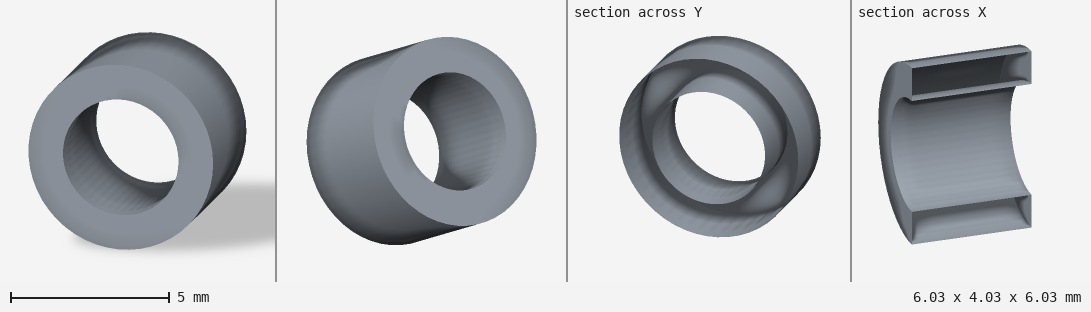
import cadquery as cq

core_outer_diameter = 6.0
core_bore_diameter = 3.8
core_length = 4.0
skin_thickness = 0.015


def sleeve(outer_diameter, bore_diameter, length):
    """Solid sleeve along Y, centred on the origin."""
    return (
        cq.Workplane("XZ", origin=(0, length / 2, 0))
        .circle(outer_diameter / 2)
        .circle(bore_diameter / 2)
        .extrude(length)
    )


skin_growth = 2 * skin_thickness
core = sleeve(core_outer_diameter, core_bore_diameter, core_length)
envelope = sleeve(
    core_outer_diameter + skin_growth,
    core_bore_diameter - skin_growth,
    core_length + skin_growth,
)

result = envelope.cut(core)